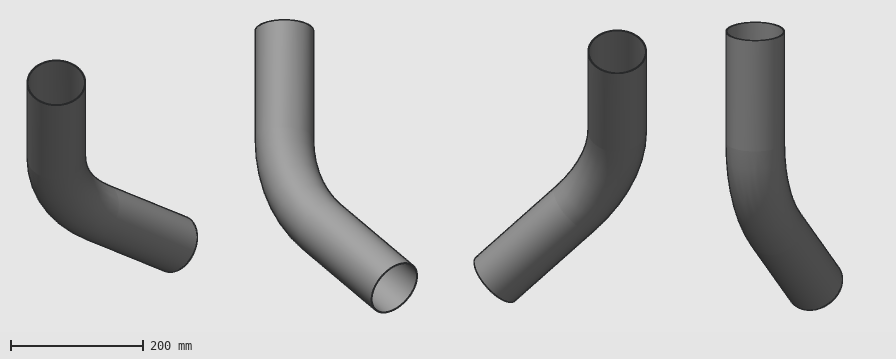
import cadquery as cq
import math

outer_diameter = 89.0
inner_diameter = 85.5
leg_length = 177.0
bend_angle = 45.0
overall_height = 492.0

bend_sine = math.sin(math.radians(bend_angle))
lower_leg_height = leg_length * math.cos(math.radians(bend_angle))
lower_rim_drop = outer_diameter / 2 * bend_sine
bend_radius = (overall_height - leg_length - lower_leg_height - lower_rim_drop) / bend_sine


def point_on_bend(angle):
    """Centreline point (Y, Z) after turning by an angle in degrees from the vertical leg."""
    turn = math.radians(angle)
    return (
        bend_radius * (1 - math.cos(turn)),
        -bend_radius * math.sin(turn),
    )


bend_middle = point_on_bend(bend_angle / 2)
bend_end = point_on_bend(bend_angle)
lower_end = (
    bend_end[0] + leg_length * bend_sine,
    bend_end[1] - lower_leg_height,
)
centreline = (
    cq.Workplane("YZ")
    .moveTo(0, leg_length)
    .lineTo(0, 0)
    .threePointArc(bend_middle, bend_end)
    .lineTo(*lower_end)
)

result = (
    cq.Workplane("XY")
    .workplane(offset=leg_length)
    .circle(outer_diameter / 2)
    .circle(inner_diameter / 2)
    .sweep(centreline)
)